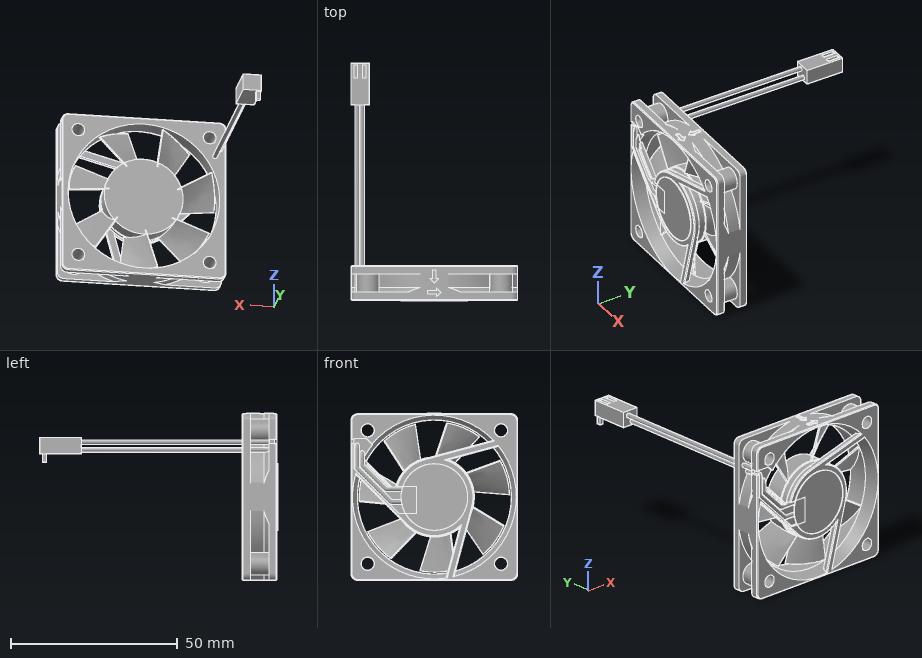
import cadquery as cq
import math


frame_size = 50.0
frame_depth = 10.5
corner_radius = 2.0
edge_chamfer = 0.3
front_flange = 2.5
back_flange = 2.5
hole_spacing = 40.0
hole_radius = 1.9
boss_radius = 3.4

bore_radius = 23.1
flare_radius = 24.6
flare_depth = 3.9
duct_radius = 25.4
duct_flare_radius = 26.2

hub_radius = 11.85
hub_thickness = 1.7
neck_radius = 11.7
neck_back = 3.9
strut_width = 2.15
strut_angle = 15.0
tray_angle = 135.0
tray_width = 5.0
tray_wall = 0.85
tray_far_wall = 0.65
label_radius = 10.0
label_thickness = 0.2

recess_depth = 0.8
notch_depth = 2.3
recess_end_x = -5.4
recess_hub_top = 3.15
recess_hub_bottom = -4.9
recess_side_x = -24.1
recess_top = 17.6
recess_bevel_x = -20.45
notch_height = 1.3
notch_top = 17.3

wire_radius = 0.7
wire_depth = 0.8
wire_bend = 0.85
wire_back_bend = 2.0
wire_places = [
    (-23.15, 16.45, -1.5, -13.0),
    (-21.65, 14.15, 2.35, -14.6),
]

connector_width = 5.6
connector_height = 5.0
connector_length = 12.5
connector_end = 71.5 - label_thickness
connector_x = -22.3
connector_z = 15.45
slot_width = 1.1
slot_length = 3.85
slot_depth = 1.0
slot_pitch = 2.6
slot_inset = 0.6
peg_size = 1.3
peg_length = 2.5
peg_inset = 0.8
peg_side_inset = 0.15

arrow_height = 0.2
arrow_length = 4.0
arrow_head_length = 1.4
arrow_head_width = 2.6
arrow_shaft_width = 1.1
flow_arrow_tail = 9.2
spin_arrow_tail = -2.0
spin_arrow_y = 2.4

rotor_radius = 12.0
rotor_front = 4.1
rotor_back = 10.0
blade_count = 7
blade_phase = 28.2
blade_tip_radius = 22.6
blade_root = 10.7
blade_outer = 23.6
blade_root_trailing = -4.2
blade_root_leading = 1.3
blade_outer_trailing = -5.3
blade_outer_leading = 5.9
blade_front = 3.35
blade_back = 9.85
blade_thickness_x = 0.3
blade_thickness_y = 0.35
blade_bow = -0.5


def front_plane(y):
    """Plane facing the front at depth y; extruding by a negative length goes towards the back."""
    return cq.Workplane("XZ", origin=(0, y, 0))


def disc(radius, y_front, y_back):
    return front_plane(y_front).circle(radius).extrude(y_front - y_back)


def cone(radius_front, radius_back, y_front, y_back):
    profile = [(0, y_front), (radius_front, y_front), (radius_back, y_back), (0, y_back)]
    return cq.Workplane("XY").polyline(profile).close().revolve(360, (0, 0, 0), (0, 1, 0))


def frame_block(y_front, y_back):
    block = front_plane(y_front).rect(frame_size, frame_size).extrude(y_front - y_back)
    return block.edges("|Y").fillet(corner_radius)


def at_holes(y):
    return front_plane(y).rect(hole_spacing, hole_spacing, forConstruction=True).vertices()


def make_frame():
    groove_back = frame_depth - back_flange
    front = frame_block(0, front_flange).faces("<Y").edges().chamfer(edge_chamfer)
    back = frame_block(groove_back, frame_depth).faces(">Y").edges().chamfer(edge_chamfer)

    duct = disc(duct_radius, front_flange, groove_back)
    duct = duct.union(cone(duct_flare_radius, duct_radius, front_flange, flare_depth))
    duct = duct.intersect(frame_block(front_flange, groove_back))
    bosses = at_holes(front_flange).circle(boss_radius).extrude(front_flange - groove_back)

    frame = front.union(back).union(duct).union(bosses)
    frame = frame.cut(disc(bore_radius, 0, frame_depth))
    frame = frame.cut(cone(flare_radius, bore_radius, 0, flare_depth))
    return frame.cut(at_holes(0).circle(hole_radius).extrude(-frame_depth))


def make_strut(angle, width, thickness):
    """Bar whose outer side is tangent to the hub and which runs out into the frame."""
    length = frame_size / 2
    bar = front_plane(0).center(length / 2, hub_radius - width / 2).rect(length, width).extrude(-thickness)
    bar = bar.faces("<Y").edges("|X").chamfer(edge_chamfer)
    return bar.rotate((0, 0, 0), (0, 1, 0), -angle)


def make_mount():
    mount = disc(hub_radius, 0, hub_thickness).faces("<Y").edges().chamfer(edge_chamfer)
    mount = mount.union(disc(neck_radius, hub_thickness, neck_back))
    mount = mount.union(make_strut(strut_angle, strut_width, hub_thickness))
    mount = mount.union(make_strut(strut_angle - 120, strut_width, hub_thickness))
    mount = mount.union(make_strut(tray_angle, tray_width, hub_thickness))
    return mount.intersect(disc(flare_radius + 0.15, 0, neck_back))


def make_wire_recess():
    """Recess from the side of the frame along the tray into the hub plate."""
    outer_sum = -math.sqrt(2) * (hub_radius - tray_wall)
    inner_sum = -math.sqrt(2) * (hub_radius - tray_width + tray_far_wall)
    bevel_end_x = recess_bevel_x + 2.85
    outline = [
        (recess_side_x, recess_top),
        (recess_bevel_x, recess_top),
        (bevel_end_x, recess_top - 2.85),
        (inner_sum - recess_hub_top - 6.4, recess_hub_top + 6.4),
        (inner_sum - recess_hub_top, recess_hub_top),
        (recess_end_x, recess_hub_top),
        (recess_end_x, recess_hub_bottom),
        (outer_sum - recess_hub_bottom, recess_hub_bottom),
        (recess_side_x, outer_sum - recess_side_x),
    ]
    recess = front_plane(0).polyline(outline).close().extrude(-recess_depth)
    notch_width = frame_size / 2 + recess_side_x
    notch = cq.Workplane("XY").box(notch_width, notch_depth, notch_height, centered=(False, False, False))
    return recess.union(notch.translate((-frame_size / 2, 0, notch_top - notch_height)))


def rounded_path(points, radii):
    """Wire through the points, with an arc of the given radius at each inner point."""
    points = [cq.Vector(*p) for p in points]
    edges = []
    start = points[0]
    for before, corner, after, radius in zip(points, points[1:], points[2:], radii):
        back = (before - corner).normalized()
        ahead = (after - corner).normalized()
        half_angle = back.getAngle(ahead) / 2
        reach = radius / math.tan(half_angle)
        bisector = (back + ahead).normalized()
        middle = corner + bisector * (radius / math.sin(half_angle) - radius)
        edges.append(cq.Edge.makeLine(start, corner + back * reach))
        edges.append(cq.Edge.makeThreePointArc(corner + back * reach, middle, corner + ahead * reach))
        start = corner + ahead * reach
    edges.append(cq.Edge.makeLine(start, points[-1]))
    return cq.Wire.assembleEdges(edges)


def make_wire(lead_x, lead_z, end_z, corner_x):
    lead_start = connector_end - connector_length
    points = [
        (lead_x, lead_start, lead_z),
        (lead_x, wire_depth, lead_z),
        (lead_x, wire_depth, end_z + corner_x - lead_x),
        (corner_x, wire_depth, end_z),
        (0, wire_depth, end_z),
    ]
    path = rounded_path(points, [wire_back_bend, wire_bend, wire_bend])
    section = front_plane(lead_start).center(lead_x, lead_z).circle(wire_radius)
    return section.sweep(cq.Workplane(obj=path))


def make_connector():
    y_start = connector_end - connector_length
    top = connector_z + connector_height / 2
    bottom = connector_z - connector_height / 2
    left = connector_x - connector_width / 2
    body = front_plane(y_start).center(connector_x, connector_z)
    body = body.rect(connector_width, connector_height).extrude(-connector_length)
    slot_y = connector_end - slot_inset - slot_length / 2
    for side in (-1, 1):
        slot = cq.Workplane("XY", origin=(connector_x + side * slot_pitch / 2, slot_y, top))
        body = body.cut(slot.rect(slot_width, slot_length).extrude(-slot_depth))
    peg_x = left + peg_side_inset + peg_size / 2
    peg_y = connector_end - peg_inset - peg_size / 2
    peg = cq.Workplane("XY", origin=(peg_x, peg_y, bottom)).rect(peg_size, peg_size)
    return body.union(peg.extrude(-peg_length))


def make_arrow(tail_x, tail_y, angle):
    neck = arrow_length - arrow_head_length
    shaft = arrow_shaft_width / 2
    head = arrow_head_width / 2
    outline = [
        (0, -shaft), (neck, -shaft), (neck, -head), (arrow_length, 0),
        (neck, head), (neck, shaft), (0, shaft),
    ]
    arrow = cq.Workplane("XY").polyline(outline).close().extrude(arrow_height)
    arrow = arrow.rotate((0, 0, 0), (0, 0, 1), angle)
    return arrow.translate((tail_x, tail_y, frame_size / 2))


def make_housing():
    housing = make_frame().union(make_mount()).cut(make_wire_recess())
    housing = housing.union(disc(label_radius, -label_thickness, 0))
    for place in wire_places:
        housing = housing.union(make_wire(*place))
    housing = housing.union(make_connector())
    housing = housing.union(make_arrow(0, flow_arrow_tail, -90))
    return housing.union(make_arrow(spin_arrow_tail, spin_arrow_y, 0))


def blade_section(workplane, trailing_x, leading_x):
    """Bowed strip from the trailing edge at the front to the leading edge at the back."""
    middle_x = (trailing_x + leading_x) / 2
    middle_y = (blade_front + blade_back) / 2 + blade_bow
    return (
        workplane.moveTo(trailing_x, blade_front)
        .threePointArc((middle_x, middle_y), (leading_x, blade_back))
        .lineTo(leading_x - blade_thickness_x, blade_back + blade_thickness_y)
        .threePointArc(
            (middle_x - blade_thickness_x, middle_y + blade_thickness_y),
            (trailing_x - blade_thickness_x, blade_front + blade_thickness_y),
        )
        .close()
    )


def make_blade():
    root = blade_section(cq.Workplane("XY", origin=(0, 0, blade_root)), blade_root_trailing, blade_root_leading)
    both = blade_section(root.workplane(offset=blade_outer - blade_root), blade_outer_trailing, blade_outer_leading)
    blade = both.loft(ruled=True).intersect(disc(blade_tip_radius, 0, frame_depth))
    return blade.cut(disc(rotor_radius, 0, rotor_front))


def make_impeller():
    impeller = disc(rotor_radius, rotor_front, rotor_back)
    blade = make_blade()
    for index in range(blade_count):
        angle = blade_phase + index * 360 / blade_count
        impeller = impeller.union(blade.rotate((0, 0, 0), (0, 1, 0), -angle))
    return impeller


housing = make_housing()
impeller = make_impeller()
result = cq.Compound.makeCompound([housing.val(), impeller.val()])